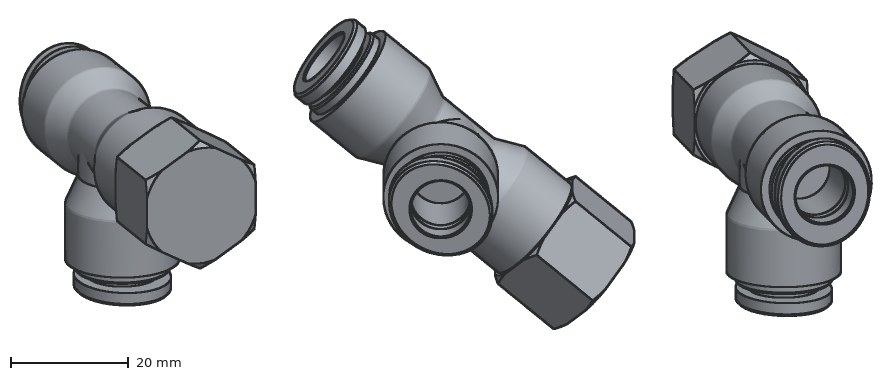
import cadquery as cq
import math


NECK_END = 5.9
CONE_END = 10.9
BARREL_END = 21.0
COLLAR_END = 22.8
HEAD_START = 24.0
PORT_END = 26.4
HEX_END = 61.4 - PORT_END

BARREL_DIAMETER = 19.5
NECK_DIAMETER = 15.05
SHOULDER_FILLET = 1.0
TUBE_BORE = 10.15
BORE_FLOOR = CONE_END

COLLAR_DIAMETER = 16.5
COLLAR_BORE = 10.2
COLLAR_CHAMFER = 0.35

STEM_DIAMETER = 11.7
HEAD_LENGTH = 18.55
HEAD_WIDTH = 16.2
HEAD_CHAMFER = 0.4
MOUTH_CHAMFER = 0.25

HEX_ACROSS_FLATS = 20.0
HEX_ACROSS_CORNERS = HEX_ACROSS_FLATS / math.cos(math.radians(30))
HEX_FACE_DIAMETER = 20.75
HEX_BEVEL_ANGLE = 30.0

TO_PLUS_X = 90
TO_MINUS_X = -90
TO_MINUS_Z = 180
TUBE_PORTS = (TO_MINUS_X, TO_MINUS_Z)


def turn(shape, angle):
    """Rotate a shape about the Y axis through the tee centre."""
    return shape.rotate((0, 0, 0), (0, 1, 0), angle)


def disc(diameter, start, end):
    """Cylinder about Z between two heights."""
    return cq.Workplane("XY").workplane(offset=start).circle(diameter / 2).extrude(end - start)


def fillet_circle(shape, height, radius):
    """Round the circular edge that is centred on the Z axis at a height."""
    margin = 0.05
    near = cq.selectors.BoxSelector((-margin, -margin, height - margin), (margin, margin, height + margin))
    return shape.edges(near).fillet(radius)


def make_arm():
    """Neck, cone and barrel along +Z, with a rounded shoulder."""
    neck_radius = NECK_DIAMETER / 2
    barrel_radius = BARREL_DIAMETER / 2
    profile = [
        (0, 0),
        (neck_radius, 0),
        (neck_radius, NECK_END),
        (barrel_radius, CONE_END),
        (barrel_radius, BARREL_END),
        (0, BARREL_END),
    ]
    arm = cq.Workplane("XZ").polyline(profile).close().revolve(360, (0, 0, 0), (0, 1, 0))
    return fillet_circle(arm, CONE_END, SHOULDER_FILLET)


def make_housing():
    """Tee of three arms with a blind tube bore in each tube port."""
    branch = make_arm()
    run_arm = fillet_circle(make_arm(), NECK_END, SHOULDER_FILLET)
    housing = turn(run_arm, TO_MINUS_X).union(turn(run_arm, TO_PLUS_X)).union(turn(branch, TO_MINUS_Z))
    bore = disc(TUBE_BORE, BORE_FLOOR, BARREL_END)
    for angle in TUBE_PORTS:
        housing = housing.cut(turn(bore, angle))
    return housing


def make_collar(angle):
    """Plain ring on the face of a barrel."""
    collar = disc(COLLAR_DIAMETER, BARREL_END, COLLAR_END).faces(">Z").edges().chamfer(COLLAR_CHAMFER)
    collar = collar.cut(disc(COLLAR_BORE, BARREL_END, COLLAR_END))
    return turn(collar, angle)


def make_button(angle):
    """Release button: round stem on the collar and a wider elliptical head."""
    head = (
        cq.Workplane("XY")
        .workplane(offset=HEAD_START)
        .ellipse(HEAD_LENGTH / 2, HEAD_WIDTH / 2)
        .extrude(PORT_END - HEAD_START)
        .faces(">Z")
        .edges()
        .chamfer(HEAD_CHAMFER)
    )
    button = head.union(disc(STEM_DIAMETER, COLLAR_END, HEAD_START))
    button = button.cut(disc(TUBE_BORE, COLLAR_END, PORT_END))
    button = button.faces(">Z").edges("%CIRCLE").chamfer(MOUTH_CHAMFER)
    return turn(button, angle)


def make_hex_end():
    """Hexagonal prism along +X, corners up and down, bevelled at both ends."""
    prism = (
        cq.Workplane("XY")
        .workplane(offset=BARREL_END)
        .polygon(6, HEX_ACROSS_CORNERS)
        .extrude(HEX_END - BARREL_END)
    )
    face_radius = HEX_FACE_DIAMETER / 2
    corner_radius = HEX_ACROSS_CORNERS / 2
    bevel_depth = (corner_radius - face_radius) * math.tan(math.radians(HEX_BEVEL_ANGLE))
    envelope_profile = [
        (0, BARREL_END),
        (face_radius, BARREL_END),
        (corner_radius, BARREL_END + bevel_depth),
        (corner_radius, HEX_END - bevel_depth),
        (face_radius, HEX_END),
        (0, HEX_END),
    ]
    envelope = cq.Workplane("XZ").polyline(envelope_profile).close().revolve(360, (0, 0, 0), (0, 1, 0))
    return turn(prism.intersect(envelope), TO_PLUS_X)


housing = make_housing()
hex_end = make_hex_end()
collars = [make_collar(angle).val() for angle in TUBE_PORTS]
buttons = [make_button(angle).val() for angle in TUBE_PORTS]

result = cq.Compound.makeCompound([housing.val(), hex_end.val(), *collars, *buttons])